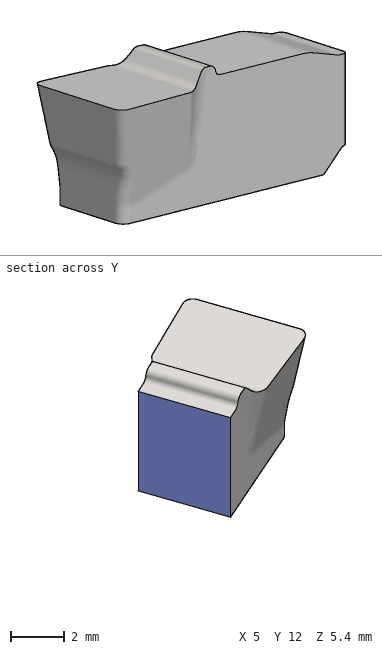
import cadquery as cq
import math


def tan_deg(angle):
    return math.tan(math.radians(angle))



length = 12.0
height = 5.4
edge_width = 5.0
body_width = 3.8

body_top = 4.97
rear_top = 4.56
rear_flat_length = 0.49
rear_ramp_angle = 15.0
rear_ramp_radius = 2.0
rear_bottom = 0.94
rear_bottom_flat = 0.3
rear_chamfer_reach = 1.25
rear_chamfer_radius = 0.15
rear_corner_radius = 0.3

ridge_rear_y = 5.24
ridge_rear_angle = 75.0
ridge_rear_foot_radius = 0.25
ridge_rear_crest_radius = 0.3
ridge_front_y = 4.645
ridge_front_angle = 49.0
ridge_front_foot_radius = 0.6
ridge_front_crest_radius = 0.3

rake_z = 4.74
clearance_angle = 8.0
clearance_end_z = 2.37
clearance_end_radius = 0.45
undercut_angle = 28.0
undercut_radius = 1.55
foot_y = 0.605

land_depth = foot_y
land_draft_angle = 8.4
flank_taper_angle = 2.5
flare_angle = 30.0
flare_start_y = 4.5
flare_edge_radius = 0.3
flank_foot_radius = 1.1
front_corner_radius = 0.4

front_margin = 1.0
side_margin = 0.5
blank_height = 6.0
head_floor_z = 0.4

selection_gap = 0.02


def rounded_outline(corners):
    """Closed YZ wire through (y, z, radius) corners, each non-zero radius rounded by a tangent arc."""
    outline = None
    for i, (y, z, radius) in enumerate(corners):
        corner = cq.Vector(y, z)
        before = cq.Vector(*corners[i - 1][:2])
        after = cq.Vector(*corners[(i + 1) % len(corners)][:2])
        to_before = (before - corner).normalized()
        to_after = (after - corner).normalized()
        half_angle = to_before.getAngle(to_after) / 2
        setback = radius / math.tan(half_angle)
        start = corner + to_before * setback
        if outline is None:
            outline = cq.Workplane("YZ").moveTo(start.x, start.y)
        else:
            outline = outline.lineTo(start.x, start.y)
        if radius > 0:
            bisector = (to_before + to_after).normalized()
            middle = corner + bisector * (radius / math.sin(half_angle) - radius)
            end = corner + to_after * setback
            outline = outline.threePointArc((middle.x, middle.y), (end.x, end.y))
    return outline.close()


def side_profile(width):
    """Lengthwise profile of the part extruded symmetrically to the given width."""
    clearance_end_y = (rake_z - clearance_end_z) * tan_deg(clearance_angle)
    undercut_z = clearance_end_z - (foot_y - clearance_end_y) / tan_deg(undercut_angle)
    ridge_front_foot_y = ridge_front_y - (height - rake_z) / tan_deg(ridge_front_angle)
    ridge_rear_foot_y = ridge_rear_y + (height - body_top) / tan_deg(ridge_rear_angle)
    ramp_foot_y = length - rear_flat_length
    ramp_top_y = ramp_foot_y - (body_top - rear_top) / tan_deg(rear_ramp_angle)
    corners = [
        (foot_y, 0, 0),
        (foot_y, undercut_z, undercut_radius),
        (clearance_end_y, clearance_end_z, clearance_end_radius),
        (0, rake_z, 0),
        (ridge_front_foot_y, rake_z, ridge_front_foot_radius),
        (ridge_front_y, height, ridge_front_crest_radius),
        (ridge_rear_y, height, ridge_rear_crest_radius),
        (ridge_rear_foot_y, body_top, ridge_rear_foot_radius),
        (ramp_top_y, body_top, rear_ramp_radius),
        (ramp_foot_y, rear_top, 0),
        (length, rear_top, 0),
        (length, rear_bottom, 0),
        (length - rear_bottom_flat, rear_bottom, rear_chamfer_radius),
        (length - rear_chamfer_reach, 0, rear_chamfer_radius),
    ]
    return rounded_outline(corners).extrude(width / 2, both=True)


def flank_section(z):
    """Plan outline of the flared head at height z: front lands, tapered flanks, rear flares."""
    depth = rake_z - z
    land_x = edge_width / 2 - depth * tan_deg(land_draft_angle)
    land_y = land_depth + depth * tan_deg(clearance_angle)
    flare_y = flare_start_y - depth * tan_deg(clearance_angle)
    body_x = body_width / 2
    taper = tan_deg(flank_taper_angle)
    flare = tan_deg(flare_angle)
    meet_y = (body_x + flare * flare_y - land_x - taper * land_y) / (flare - taper)
    meet_x = land_x - taper * (meet_y - land_y)
    apex_y = flare_y + body_x / flare
    right_side = [(land_x, -front_margin), (land_x, land_y), (meet_x, meet_y)]
    left_side = [(-x, y) for x, y in reversed(right_side)]
    return right_side + [(0, apex_y)] + left_side


def edges_near(solid, half_width, y_range, z_range):
    """Edges on both sides of the solid centred inside the half width, Y and Z ranges."""
    edges = []
    for side in (-1, 1):
        corner_a = (side * half_width[0], y_range[0], z_range[0])
        corner_b = (side * half_width[1], y_range[1], z_range[1])
        edges += solid.edges(cq.selectors.BoxSelector(corner_a, corner_b)).vals()
    return solid.newObject(edges)


def flared_blank():
    """Plain body block joined to the flared head, taller and longer at the front than the part."""
    block = (
        cq.Workplane("XY")
        .box(body_width, length + front_margin, blank_height, centered=(True, False, False))
        .translate((0, -front_margin, 0))
    )
    head = (
        cq.Workplane("XY").workplane(offset=head_floor_z)
        .polyline(flank_section(head_floor_z)).close()
        .workplane(offset=blank_height - head_floor_z)
        .polyline(flank_section(blank_height)).close()
        .loft(ruled=True)
    )
    blank = block.union(head)

    body_x = body_width / 2
    inside_height = (head_floor_z, blank_height - selection_gap)
    outside_body = (body_x + selection_gap, edge_width)
    flare_edges = edges_near(blank, outside_body, (land_depth, flare_start_y), inside_height)
    blank = flare_edges.fillet(flare_edge_radius)

    on_body_side = (body_x - selection_gap, body_x + selection_gap)
    inside_length = (selection_gap - front_margin, length - selection_gap)
    foot_edges = edges_near(blank, on_body_side, inside_length, inside_height)
    return foot_edges.fillet(flank_foot_radius)


def round_rear_corners(solid):
    """Round the two upright edges at the rear end."""
    beside_body = (body_width / 2 - selection_gap, body_width / 2 + selection_gap)
    rear_end = (length - selection_gap, length + selection_gap)
    rear_edges = edges_near(solid, beside_body, rear_end, (rear_bottom, rear_top))
    return rear_edges.fillet(rear_corner_radius)


def round_front_corners(solid):
    """Round the chains of side edges that run up the front end to the cutting edge."""
    beside_front = (body_width / 2 - selection_gap, edge_width)
    front_end = (-selection_gap, foot_y + selection_gap)
    below_edge = (selection_gap, rake_z - selection_gap)
    front_edges = edges_near(solid, beside_front, front_end, below_edge)
    return front_edges.fillet(front_corner_radius)


profiled_part = flared_blank().intersect(side_profile(edge_width + 2 * side_margin))
result = round_front_corners(round_rear_corners(profiled_part))